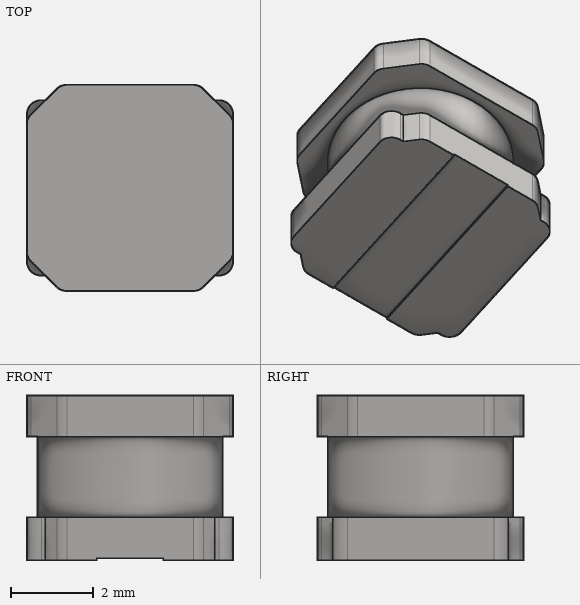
import cadquery as cq

width = 5.0
height = 4.0
corner_cut = 0.825
corner_radius = 0.35
top_thickness = 1.0
core_diameter = 4.5
base_top = 1.05
ear_depth = 4.25
pad_standoff = 0.05
pad_gap = 1.6

top_bottom = height - top_thickness


def cut_corner_plate(bottom, top):
    """Square plate with 45-degree corners and rounded vertical edges."""
    return (
        cq.Workplane("XY", origin=(0, 0, bottom))
        .rect(width, width)
        .extrude(top - bottom)
        .edges("|Z")
        .chamfer(corner_cut)
        .edges("|Z")
        .fillet(corner_radius)
    )


def eared_plate(bottom, top):
    """Cut-corner plate joined to a shorter rounded plate whose corners stick out as ears."""
    ears = (
        cq.Workplane("XY", origin=(0, 0, bottom))
        .rect(width, ear_depth)
        .extrude(top - bottom)
        .edges("|Z")
        .fillet(corner_radius)
    )
    return cut_corner_plate(bottom, top).union(ears)


pad_channel = (
    cq.Workplane("XY")
    .rect(pad_gap, width)
    .extrude(pad_standoff)
)
base_flange = eared_plate(0, base_top).cut(pad_channel)

core = (
    cq.Workplane("XY", origin=(0, 0, base_top))
    .circle(core_diameter / 2)
    .extrude(top_bottom - base_top)
)

top_flange = cut_corner_plate(top_bottom, height)

result = base_flange.union(core).union(top_flange)